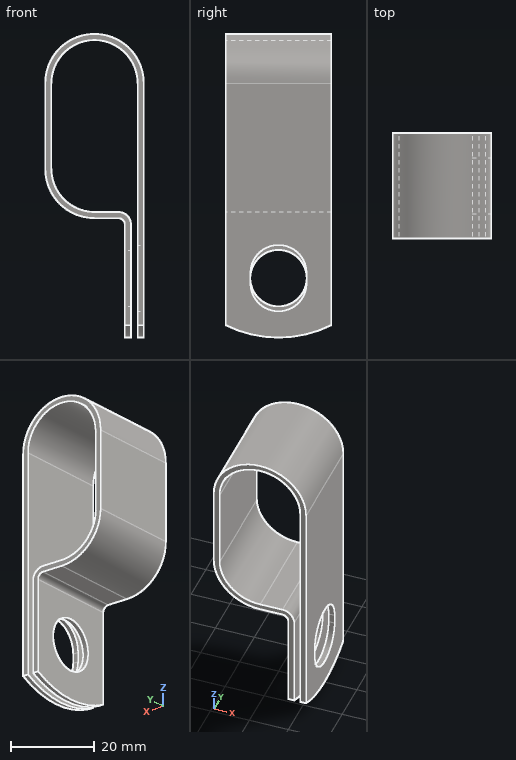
import cadquery as cq
import math

height = 72.9
loop_width = 23.7
strap_width = 25.4
thickness = 1.5
leg_gap = 1.5
loop_bottom = 28.65
bend_inner_radius = 1.5
hole_diameter = 13.5
slot_length = 15.9
hole_height = 14.3
tip_rise = 3.0

loop_radius = loop_width / 2
inner_radius = loop_radius - thickness
upper_center = height - loop_radius
lower_center = loop_bottom + loop_radius
loop_floor = loop_bottom + thickness
long_leg_inside = loop_radius - thickness
short_leg_outer = long_leg_inside - leg_gap
short_leg_inner = short_leg_outer - thickness
bend_outer_radius = bend_inner_radius + thickness
bend_x = short_leg_outer - bend_outer_radius
bend_z = loop_floor - bend_outer_radius
diagonal = math.sqrt(0.5)


def strap():
    """Bent strip: long leg, elongated loop and short leg, centred on Y."""
    return (
        cq.Workplane("XZ")
        .moveTo(loop_radius, 0)
        .lineTo(loop_radius, upper_center)
        .threePointArc((0, height), (-loop_radius, upper_center))
        .lineTo(-loop_radius, lower_center)
        .threePointArc(
            (-loop_radius * diagonal, lower_center - loop_radius * diagonal),
            (0, loop_bottom),
        )
        .lineTo(bend_x, loop_bottom)
        .threePointArc(
            (bend_x + bend_inner_radius * diagonal, bend_z + bend_inner_radius * diagonal),
            (short_leg_inner, bend_z),
        )
        .lineTo(short_leg_inner, 0)
        .lineTo(short_leg_outer, 0)
        .lineTo(short_leg_outer, bend_z)
        .threePointArc(
            (bend_x + bend_outer_radius * diagonal, bend_z + bend_outer_radius * diagonal),
            (bend_x, loop_floor),
        )
        .lineTo(0, loop_floor)
        .threePointArc(
            (-inner_radius * diagonal, lower_center - inner_radius * diagonal),
            (-inner_radius, lower_center),
        )
        .lineTo(-inner_radius, upper_center)
        .threePointArc((0, upper_center + inner_radius), (long_leg_inside, upper_center))
        .lineTo(long_leg_inside, 0)
        .close()
        .extrude(strap_width / 2, both=True)
    )


def side_outline():
    """Block that rounds both leg tips to a shallow arc."""
    half_width = strap_width / 2
    return (
        cq.Workplane("YZ")
        .moveTo(-half_width, height)
        .lineTo(-half_width, tip_rise)
        .threePointArc((0, 0), (half_width, tip_rise))
        .lineTo(half_width, height)
        .close()
        .extrude(loop_width, both=True)
    )


def bolt_hole():
    """Round hole along X through both legs."""
    return (
        cq.Workplane("YZ")
        .center(0, hole_height)
        .circle(hole_diameter / 2)
        .extrude(loop_width, both=True)
    )


def long_leg_slot():
    """Upright slot that lengthens the bolt hole in the long leg only."""
    return (
        cq.Workplane("YZ", origin=(long_leg_inside, 0, hole_height))
        .slot2D(slot_length, hole_diameter, 90)
        .extrude(thickness)
    )


result = strap().intersect(side_outline()).cut(bolt_hole()).cut(long_leg_slot())